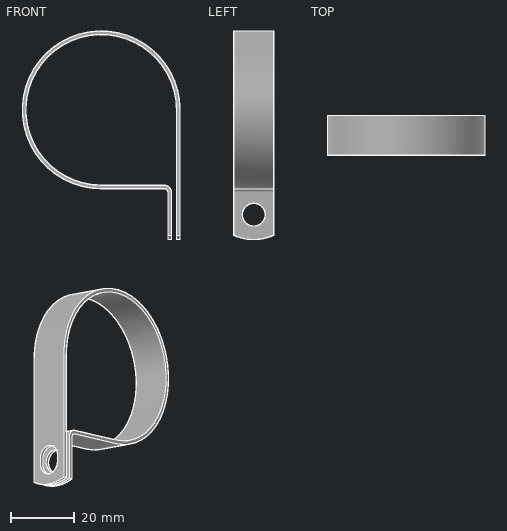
import cadquery as cq
import math

total_height = 66.2
loop_diameter = 50.1
band_width = 12.7
thickness = 1.2
tab_gap = 1.5
bend_inner_radius = 1.2
hole_diameter = 7.15
slot_length = 9.15
hole_height = 7.95
end_arc_rise = 1.4

outer_radius = loop_diameter / 2
inner_radius = outer_radius - thickness
bend_outer_radius = bend_inner_radius + thickness
bottom_z = outer_radius - total_height
short_tab_outer_x = inner_radius - tab_gap
short_tab_inner_x = short_tab_outer_x - thickness
bend_x = short_tab_outer_x - bend_outer_radius
bend_z = -inner_radius - bend_outer_radius
diagonal = math.sqrt(0.5)


def make_band():
    """Bent strip: long straight tab, three-quarter loop, flat run and short tab."""
    return (
        cq.Workplane("XZ")
        .moveTo(outer_radius, bottom_z)
        .lineTo(outer_radius, 0)
        .threePointArc((-outer_radius * diagonal, outer_radius * diagonal), (0, -outer_radius))
        .lineTo(bend_x, -outer_radius)
        .threePointArc(
            (bend_x + bend_inner_radius * diagonal, bend_z + bend_inner_radius * diagonal),
            (short_tab_inner_x, bend_z),
        )
        .lineTo(short_tab_inner_x, bottom_z)
        .lineTo(short_tab_outer_x, bottom_z)
        .lineTo(short_tab_outer_x, bend_z)
        .threePointArc(
            (bend_x + bend_outer_radius * diagonal, bend_z + bend_outer_radius * diagonal),
            (bend_x, -inner_radius),
        )
        .lineTo(0, -inner_radius)
        .threePointArc((-inner_radius * diagonal, inner_radius * diagonal), (inner_radius, 0))
        .lineTo(inner_radius, bottom_z)
        .close()
        .extrude(band_width / 2, both=True)
    )


def make_end_envelope():
    """Side silhouette of the band, with the arc that rounds both tab ends."""
    half_width = band_width / 2
    return (
        cq.Workplane("YZ")
        .moveTo(-half_width, outer_radius)
        .lineTo(-half_width, bottom_z + end_arc_rise)
        .threePointArc((0, bottom_z), (half_width, bottom_z + end_arc_rise))
        .lineTo(half_width, outer_radius)
        .close()
        .extrude(outer_radius, both=True)
    )


def tab_plane(start_x):
    """Plane facing +X at start_x, centred on the hole axis."""
    return cq.Workplane("YZ", origin=(start_x, 0, bottom_z + hole_height))


def make_round_hole():
    """Cutter for the round hole in the short tab."""
    return tab_plane(short_tab_inner_x).circle(hole_diameter / 2).extrude(thickness)


def make_slot():
    """Cutter for the vertical slot in the long tab, as wide as the round hole."""
    return tab_plane(inner_radius).slot2D(slot_length, hole_diameter, angle=90).extrude(thickness)


result = make_band().intersect(make_end_envelope()).cut(make_round_hole()).cut(make_slot())